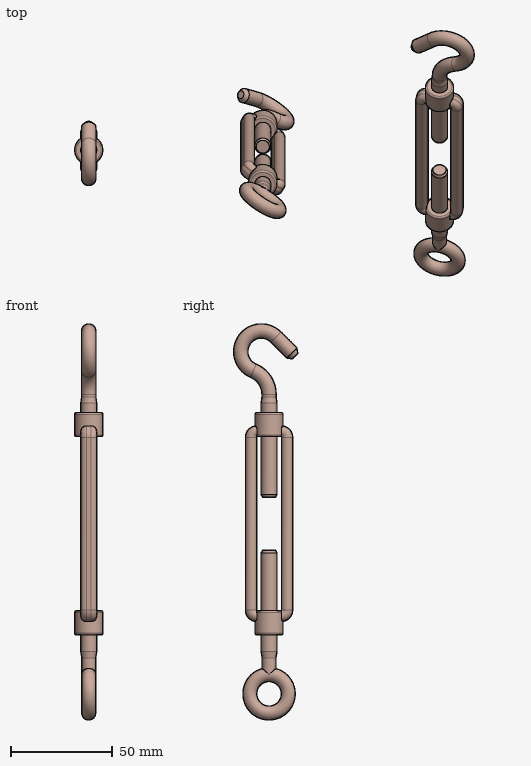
import cadquery as cq
import math


FRAME_LENGTH = 110.0
BOSS_DIAMETER = 14.0
BOSS_HEIGHT = 12.0
BOSS_EDGE_FILLET = 0.9
BAR_WIDTH = 8.0
BAR_THICKNESS = 5.7
BAR_INNER_Y = 6.05
BAR_OVERRUN = 0.3

THREAD_DIAMETER = 8.0
THREAD_INNER_END = 13.0
THREAD_END_CHAMFER_RADIAL = 0.75
THREAD_END_CHAMFER_LENGTH = 1.5
NECK_TAPER_LENGTH = 3.0

HOOK_WIRE_DIAMETER = 7.19
HOOK_THREAD_TOP = 59.7
HOOK_NECK_LENGTH = 1.3
HOOK_BEND_RADIUS = 10.2
HOOK_CENTRE_Y = -3.81
HOOK_CENTRE_Z = 85.08
HOOK_ARM_ANGLE = 45.0
HOOK_ARM_LENGTH = 13.45
HOOK_TIP_CHAMFER_LENGTH = 2.3
HOOK_TIP_CHAMFER_RADIAL = 1.6

EYE_WIRE_DIAMETER = 7.0
EYE_OUTER_DIAMETER = 26.0
EYE_CENTRE_Z = -84.1
EYE_THREAD_BOTTOM = -63.3


def make_boss():
    """Round end boss of the frame, at the +Z end."""
    boss = (
        cq.Workplane("XY")
        .workplane(offset=FRAME_LENGTH / 2 - BOSS_HEIGHT)
        .circle(BOSS_DIAMETER / 2)
        .extrude(BOSS_HEIGHT)
    )
    return boss.faces("|Z").edges().fillet(BOSS_EDGE_FILLET)


def make_bar(bend_z):
    """Bar on the +Y side whose ends bend a quarter turn about their inner edge towards the boss."""
    bar_centre_y = BAR_INNER_Y + BAR_THICKNESS / 2
    section = cq.Workplane("XY", origin=(0, bar_centre_y, -bend_z)).slot2D(BAR_WIDTH, BAR_THICKNESS)
    bar = section.extrude(2 * bend_z)
    upper_bend = (
        cq.Workplane("XY", origin=(0, bar_centre_y, bend_z))
        .slot2D(BAR_WIDTH, BAR_THICKNESS)
        .revolve(90, (0, -BAR_THICKNESS / 2, 0), (1, -BAR_THICKNESS / 2, 0))
    )
    return bar.union(upper_bend).union(upper_bend.mirror("XY"))


def make_frame():
    """Two bosses joined by two bars, with a bore for each threaded shank."""
    boss = make_boss()
    bar = make_bar(FRAME_LENGTH / 2 - BOSS_HEIGHT - BAR_OVERRUN)
    bore_start = cq.Workplane("XY", origin=(0, 0, -FRAME_LENGTH / 2))
    bore = bore_start.circle(THREAD_DIAMETER / 2).extrude(FRAME_LENGTH)
    frame = boss.union(boss.mirror("XY")).union(bar).union(bar.mirror("XZ"))
    return frame.cut(bore)


def make_shank(thread_end, wire_diameter, neck_end):
    """Upward shank: chamfered end, threaded length, taper to the wire and a straight neck."""
    thread_radius = THREAD_DIAMETER / 2
    wire_radius = wire_diameter / 2
    return (
        cq.Workplane("XZ")
        .moveTo(0, THREAD_INNER_END)
        .lineTo(thread_radius - THREAD_END_CHAMFER_RADIAL, THREAD_INNER_END)
        .lineTo(thread_radius, THREAD_INNER_END + THREAD_END_CHAMFER_LENGTH)
        .lineTo(thread_radius, thread_end)
        .lineTo(wire_radius, thread_end + NECK_TAPER_LENGTH)
        .lineTo(wire_radius, neck_end)
        .lineTo(0, neck_end)
        .close()
        .revolve(360, (0, 0, 0), (0, 1, 0))
    )


def polar_point(centre, radius, angle):
    """Point (y, z) at the given angle, in radians from +Y towards +Z."""
    return (centre[0] + radius * math.cos(angle), centre[1] + radius * math.sin(angle))


def make_hook():
    """Threaded shank with an S-bent wire that ends in a straight sloping arm."""
    neck_top = HOOK_THREAD_TOP + NECK_TAPER_LENGTH + HOOK_NECK_LENGTH
    hook_centre = (HOOK_CENTRE_Y, HOOK_CENTRE_Z)

    rise = HOOK_CENTRE_Z - neck_top
    lower_radius = rise**2 + HOOK_CENTRE_Y**2 - HOOK_BEND_RADIUS**2
    lower_radius /= 2 * (HOOK_BEND_RADIUS - HOOK_CENTRE_Y)
    lower_centre = (-lower_radius, neck_top)
    join_angle = math.atan2(rise, HOOK_CENTRE_Y + lower_radius)
    arm_angle = math.radians(90 - HOOK_ARM_ANGLE)

    lower_middle = polar_point(lower_centre, lower_radius, join_angle / 2)
    join = polar_point(lower_centre, lower_radius, join_angle)
    hook_middle = polar_point(hook_centre, HOOK_BEND_RADIUS, math.pi)
    arm_start = polar_point(hook_centre, HOOK_BEND_RADIUS, arm_angle)
    tip = polar_point(arm_start, HOOK_ARM_LENGTH, arm_angle - math.pi / 2)

    path = (
        cq.Workplane("YZ")
        .moveTo(0, neck_top)
        .threePointArc(lower_middle, join)
        .threePointArc(hook_middle, arm_start)
        .lineTo(*tip)
    )
    wire = cq.Workplane("XY", origin=(0, 0, neck_top)).circle(HOOK_WIRE_DIAMETER / 2).sweep(path)
    tip_edge = wire.faces(cq.NearestToPointSelector((0, *tip))).edges()
    wire = tip_edge.chamfer(HOOK_TIP_CHAMFER_LENGTH, HOOK_TIP_CHAMFER_RADIAL)
    return make_shank(HOOK_THREAD_TOP, HOOK_WIRE_DIAMETER, neck_top).union(wire)


def make_eye():
    """Threaded shank pointing down, ending in a closed ring."""
    ring_radius = (EYE_OUTER_DIAMETER - EYE_WIRE_DIAMETER) / 2
    ring_centre = cq.Vector(0, 0, EYE_CENTRE_Z)
    ring_axis = cq.Vector(1, 0, 0)
    ring = cq.Solid.makeTorus(ring_radius, EYE_WIRE_DIAMETER / 2, ring_centre, ring_axis)
    neck_end = -EYE_CENTRE_Z - ring_radius
    shank = make_shank(-EYE_THREAD_BOTTOM, EYE_WIRE_DIAMETER, neck_end).mirror("XY")
    return shank.union(cq.Workplane(ring))


frame = make_frame()
hook = make_hook()
eye = make_eye()

result = cq.Compound.makeCompound([frame.val(), hook.val(), eye.val()])